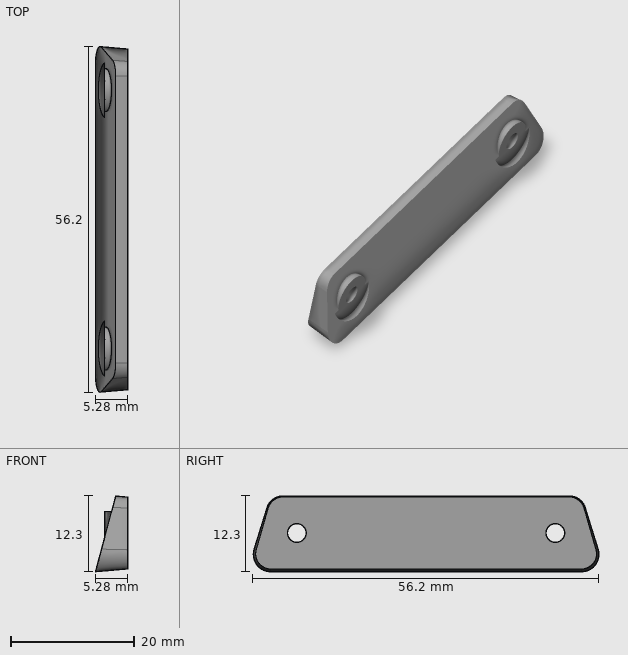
import cadquery as cq
import math

plate_height = 11.7
plate_length = 57.0
corner_radius = 2.45
end_angle = 16.0
draft_angle = 5.0
depth_at_bottom = 5.28
face_angle = 15.0

hole_spacing = 42.0
hole_diameter = 3.0
seat_depth = 3.77
boss_diameter = 7.0
recess_diameter = 9.0

half_height = plate_height / 2
hole_positions = (-hole_spacing / 2, hole_spacing / 2)


def tan_deg(angle):
    return math.tan(math.radians(angle))


def cylinder(y, diameter, depth_from, depth_to):
    """Cylinder along X at height Z = 0, between two distances from the back."""
    plane = cq.Plane(origin=(-depth_from, y, 0), xDir=(0, 1, 0), normal=(-1, 0, 0))
    return cq.Workplane(plane).circle(diameter / 2).extrude(depth_to - depth_from)


def flared_plate():
    """Rounded trapezoid that widens from the back towards the front."""
    bottom_half = plate_length / 2
    top_half = bottom_half - plate_height * tan_deg(end_angle)
    corners = [
        (-bottom_half, -half_height),
        (bottom_half, -half_height),
        (top_half, half_height),
        (-top_half, half_height),
        (-bottom_half, -half_height),
    ]
    outline = cq.Sketch().polygon(corners).vertices().fillet(corner_radius)
    back = cq.Plane(origin=(0, 0, 0), xDir=(0, -1, 0), normal=(-1, 0, 0))
    return cq.Workplane(back).placeSketch(outline).extrude(depth_at_bottom, taper=-draft_angle)


def wedge_envelope():
    """Prism behind the sloping front face, spanning the full flared height and beyond the ends."""
    flare = depth_at_bottom * tan_deg(draft_angle)
    bottom_edge = -half_height - flare
    top_limit = half_height + flare
    top_depth = depth_at_bottom - (top_limit - bottom_edge) * tan_deg(face_angle)
    return (
        cq.Workplane("XZ")
        .moveTo(0, bottom_edge)
        .lineTo(-depth_at_bottom, bottom_edge)
        .lineTo(-top_depth, top_limit)
        .lineTo(0, top_limit)
        .close()
        .extrude(plate_length, both=True)
    )


def add_screw_seat(body, y):
    """Flat seat: sunk below the face at the bottom, proud of it at the top, with a through hole."""
    body = body.cut(cylinder(y, recess_diameter, seat_depth, depth_at_bottom))
    body = body.union(cylinder(y, boss_diameter, 0, seat_depth))
    return body.cut(cylinder(y, hole_diameter, 0, depth_at_bottom))


result = flared_plate().intersect(wedge_envelope())
for hole_y in hole_positions:
    result = add_screw_seat(result, hole_y)